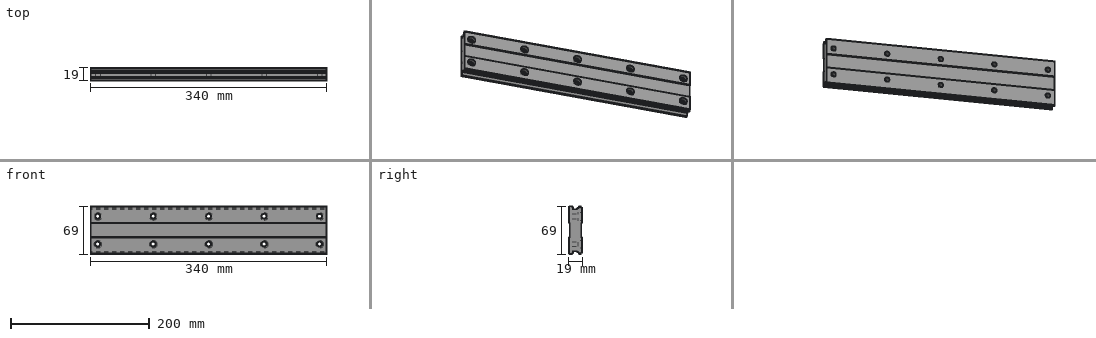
import cadquery as cq

length = 340.0
thickness = 19.0
height = 69.0
half_thickness = thickness / 2
half_height = height / 2

relief_height = 19.7
relief_depth = 1.0

groove_depth = 4.0
floor_back = 1.5
back_wall_y = 1.7
back_wall_height = 0.7
floor_front = -3.7
front_arc_y = -3.7
back_lip_foot = 7.8
back_lip_outer = 7.5
back_lip_inner = 5.0
back_step_y = 4.5
front_lip_inner = -5.8
front_arc_height = 2.0
shoulder_drop = 2.0
shoulder_rise = 0.5
front_chamfer = 1.0

hole_diameter = 6.8
counterbore_diameter = 11.0
counterbore_depth = 6.5
hole_columns = 5
hole_pitch = 80.0
row_spacing = 40.0


def make_upper_half():
    """Extrude the upper half of the cross-section along X."""
    floor_z = half_height - groove_depth
    shoulder_z = half_height - shoulder_drop
    relief_y = half_thickness - relief_depth
    relief_z = relief_height / 2
    back_outline = [
        (relief_y, 0),
        (relief_y, relief_z),
        (half_thickness, relief_z + relief_depth),
        (half_thickness, shoulder_z),
        (back_lip_foot, shoulder_z + shoulder_rise),
        (back_lip_outer, half_height),
        (back_lip_inner, half_height),
        (back_step_y, shoulder_z),
        (back_wall_y, floor_z + back_wall_height),
        (floor_back, floor_z),
        (floor_front, floor_z),
    ]
    front_outline = [
        (front_chamfer - half_thickness, half_height),
        (-half_thickness, half_height - front_chamfer),
        (-half_thickness, relief_z + relief_depth),
        (-relief_y, relief_z),
        (-relief_y, 0),
    ]
    section = (
        cq.Workplane("YZ")
        .polyline(back_outline)
        .threePointArc((front_arc_y, floor_z + front_arc_height), (front_lip_inner, half_height))
        .polyline(front_outline, includeCurrent=True)
        .close()
    )
    return section.extrude(length / 2, both=True)


upper_half = make_upper_half()
plate = upper_half.union(upper_half.mirror("XY")).clean()

result = (
    plate.copyWorkplane(cq.Workplane("ZX", origin=(0, half_thickness, 0)))
    .rarray(row_spacing, hole_pitch, 2, hole_columns)
    .cboreHole(hole_diameter, counterbore_diameter, counterbore_depth)
)